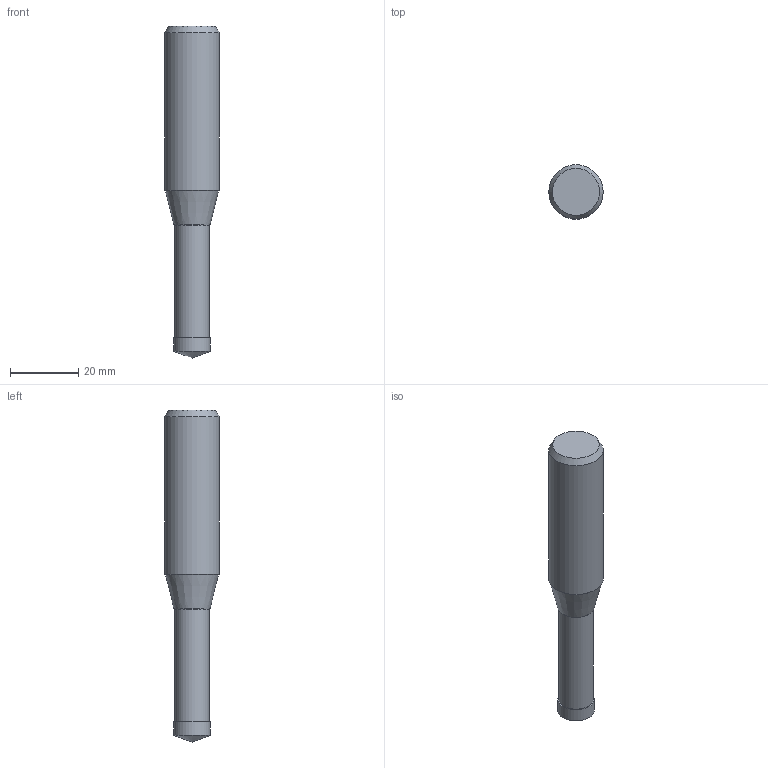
import cadquery as cq
import math

overall_length = 96.95
shank_radius = 15.88 / 2

tip_radius = 10.7 / 2
tip_collar_height = 4.0
tip_cone_angle = 20.0
tip_cone_height = tip_radius * math.tan(math.radians(tip_cone_angle))
tip_height = tip_cone_height + tip_collar_height

neck_radius = 10.2 / 2
neck_length = 32.77
taper_height = 10.27
edge_break = 0.22
chamfer_height = 1.9
chamfer_angle = 30.0
top_radius = shank_radius - chamfer_height * math.tan(math.radians(chamfer_angle))

taper_bottom_z = tip_height + neck_length
taper_top_z = taper_bottom_z + taper_height


def turned(profile):
    """Revolve a closed (radius, z) profile about the Z axis."""
    return cq.Workplane("XZ").polyline(profile).close().revolve(360, (0, 0, 0), (0, 1, 0))


def make_holder():
    return turned([
        (0, tip_height),
        (neck_radius, tip_height),
        (neck_radius, taper_bottom_z),
        (neck_radius + edge_break, taper_bottom_z + edge_break),
        (shank_radius - edge_break, taper_top_z - edge_break),
        (shank_radius, taper_top_z),
        (shank_radius, overall_length - chamfer_height),
        (top_radius, overall_length),
        (0, overall_length),
    ])


def make_tip():
    return turned([
        (0, 0),
        (tip_radius, tip_cone_height),
        (tip_radius, tip_height),
        (0, tip_height),
    ])


holder = make_holder()
tip = make_tip()

result = cq.Compound.makeCompound([holder.val(), tip.val()])